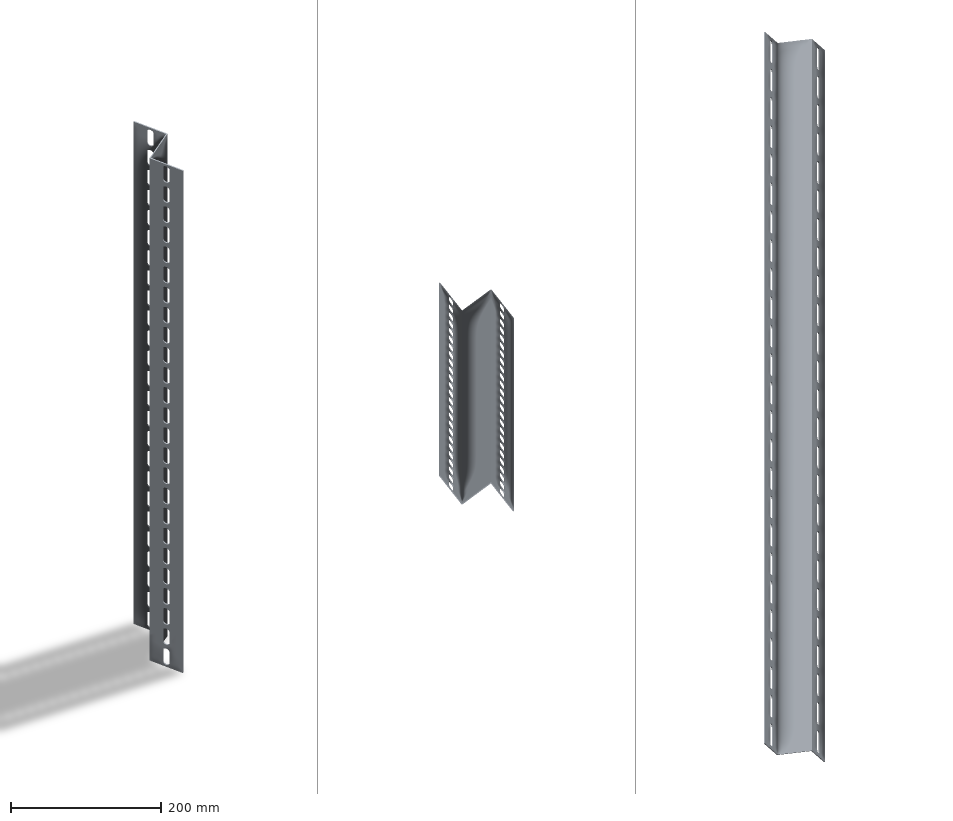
import cadquery as cq

rail_length = 1000.0
leg_width = 50.0
thickness = 1.5

slot_pitch = 40.0
slot_length = 32.0
slot_width = 10.0

half_web = thickness / 2
half_depth = leg_width / 2
flange_tip = leg_width - half_web
flange_middle = leg_width / 2 - half_web
slot_count = round(rail_length / slot_pitch)


def z_profile():
    """Closed outline of the section, with the -X flange at the +Y end of the web."""
    return (
        cq.Workplane("XY")
        .polyline([
            (-flange_tip, half_depth),
            (half_web, half_depth),
            (half_web, -half_depth + thickness),
            (flange_tip, -half_depth + thickness),
            (flange_tip, -half_depth),
            (-half_web, -half_depth),
            (-half_web, half_depth - thickness),
            (-flange_tip, half_depth - thickness),
        ])
        .close()
    )


def slot_cutters():
    """Round-ended cutters for both slot rows, passing through the flanges along Y."""
    centers = [
        (side * flange_middle, (index + 0.5) * slot_pitch)
        for side in (-1, 1)
        for index in range(slot_count)
    ]
    return (
        cq.Workplane("XZ")
        .pushPoints(centers)
        .slot2D(slot_length, slot_width, angle=90)
        .extrude(leg_width, both=True)
    )


rail = z_profile().extrude(rail_length)
result = rail.cut(slot_cutters())